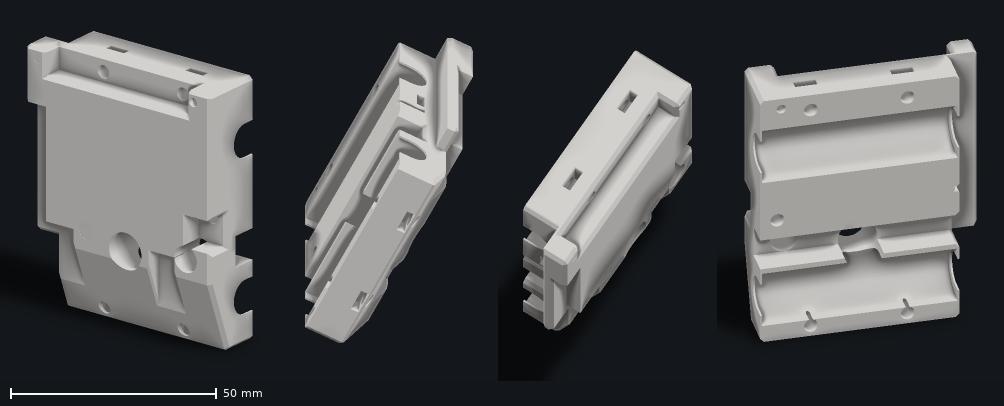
import cadquery as cq
import math

width = 57.0
depth = 17.0
height = 69.0
chamfer = 1.0
small_chamfer = chamfer / 2
tiny_chamfer = 0.2
tolerance = 0.01

flange_overhang = 7.0
flange_back = 7.05
flange_bottom = 19.2

slope_angle = 20.0
slope_top = flange_bottom
slope_end_y = 6.8
slope_end_z = slope_top - slope_end_y / math.tan(math.radians(slope_angle))
bottom_front = 7.4

pocket_left = 6.3
pocket_right = 49.6
pocket_floor = 5.5
pocket_bottom = 62.0

recess_depth = 4.0
left_recess_width = 6.55
left_recess_top = 54.1
foot_recess_top = 24.1
foot_recess_left = 38.0
foot_recess_right = 45.95
left_foot_recess_right = 15.0

notch_width = 8.4
notch_bottom = 27.45
notch_top = 36.0
notch_depth = 6.35

screw_diameter = 3.5
screw_left = 19.95
screw_pitch = 24.3
screw_bottom_z = 2.9
screw_top_z = 64.7
notch_screw = (52.65, 34.35)
pin_diameter = 2.4
pin_mark = (4.0, 66.1)
pin_hole = (51.7, 66.1)
mark_diameter = 4.0
mark_place = (18.55, 24.5)
mark_depth = 0.1
large_diameter = 10.0
large_hole = (30.85, 21.95)
medium_diameter = 7.0
medium_hole = (49.4, 24.4)

nut_slot_length = 5.5
nut_slot_thickness = 2.15
nut_slot_y = 11.1
bottom_slot_y = 8.55
bottom_slot_depth = screw_bottom_z + nut_slot_length / 2
nut_slot_depth = 6.9
side_nut_z = 41.55

channel_width = 9.0
channel_y = 13.95
bearing_diameter = 15.0
bearing_wall = 0.5
channel_heights = (12.1, 53.05)
window_bottom = 20.9
window_top = 29.2
window_front = 10.15

groove_bottom = 36.0
groove_top = 37.55
groove_front = 10.0
groove_depth = 1.0


def box(x_range, y_range, z_range):
    """A block filling the given ranges."""
    sizes = [high - low for low, high in (x_range, y_range, z_range)]
    corner = (x_range[0], y_range[0], z_range[0])
    return cq.Workplane("XY").box(*sizes, centered=False).translate(corner)


def range_about(centre, size):
    """The range of the given size about a centre."""
    return (centre - size / 2, centre + size / 2)


def drill(diameter, places, hole_depth=depth):
    """Cylinders from the front face towards the back at the given (x, z) places."""
    plane = cq.Workplane("XZ").pushPoints(places)
    return plane.circle(diameter / 2).extrude(-hole_depth)


def lies_at(edge, x=None, y=None, z=None):
    """Whether the whole edge lies at the given coordinates."""
    for axis, place in enumerate((x, y, z)):
        for end in (edge.startPoint(), edge.endPoint()):
            if place is not None and abs(end.toTuple()[axis] - place) > tolerance:
                return False
    return True


def chamfer_where(solid, size, wanted):
    """Chamfer the edges for which `wanted` is true."""
    chosen = [edge for edge in solid.edges().vals() if wanted(edge)]
    return solid.newObject(chosen).chamfer(size)


def sharp_block():
    """The block with its sloping front, overhanging flange and edge recesses, before chamfering."""
    side = [
        (0, height),
        (0, slope_top),
        (slope_end_y, slope_end_z),
        (bottom_front, 0),
        (depth, 0),
        (depth, height),
    ]
    block = cq.Workplane("YZ").polyline(side).close().extrude(width)
    beside_foot = box((0, flange_overhang), (0, depth), (0, flange_bottom))
    behind_flange = box((0, flange_overhang), (flange_back, depth), (0, height))
    pocket = box((pocket_left, pocket_right), (0, pocket_floor), (pocket_bottom, height))
    left_recess = box((0, left_recess_width), (0, recess_depth), (0, left_recess_top))
    left_foot_recess = box((0, left_foot_recess_right), (0, recess_depth), (0, foot_recess_top))
    foot_recess = box((foot_recess_left, foot_recess_right), (0, recess_depth), (0, foot_recess_top))
    notch = box((width - notch_width, width), (0, notch_depth), (notch_bottom, notch_top))
    for cutter in (
        beside_foot, behind_flange, pocket, left_recess, left_foot_recess, foot_recess, notch
    ):
        block = block.cut(cutter)
    return block


def is_outer_edge(edge):
    """Edges around the outline, the edge recesses and the pocket's mouth, but not at the back."""
    if lies_at(edge, y=depth):
        return False
    on_side = lies_at(edge, x=0) or lies_at(edge, x=width)
    on_top = lies_at(edge, z=height) and not lies_at(edge, y=flange_back)
    pocket_rim = lies_at(edge, y=0) and edge.Center().z > pocket_bottom - tolerance
    flange_underside = lies_at(edge, y=recess_depth, z=flange_bottom)
    below_flange = edge.Center().z < flange_bottom - tolerance
    foot_side = lies_at(edge, x=flange_overhang) and below_flange
    foot_edge = foot_side and not lies_at(edge, y=recess_depth)
    return on_side or on_top or pocket_rim or flange_underside or foot_edge


def is_foot_recess_edge(edge):
    """Edges between the sloping front and the side walls of the foot recesses."""
    middle = edge.Center()
    on_wall = any(
        lies_at(edge, x=wall)
        for wall in (left_foot_recess_right, foot_recess_left, foot_recess_right)
    )
    sloping = not lies_at(edge, y=middle.y) and not lies_at(edge, z=middle.z)
    return on_wall and sloping


def is_foot_rim(edge):
    """The edge between the left side of the foot and the floor of its recess."""
    return lies_at(edge, x=flange_overhang, y=recess_depth)


def channel(diameter, left, right, z):
    """A round-bottomed channel along X, open to the back."""
    radius = diameter / 2
    side = cq.Workplane("YZ", origin=(left, 0, 0)).center(channel_y, z)
    round_bottom = side.circle(radius).extrude(right - left)
    straight = box((left, right), (channel_y, depth), (z - radius, z + radius))
    return round_bottom.union(straight)


def is_window_mouth(edge):
    """Edges of the window in the left side of the body."""
    in_range = window_bottom - tolerance < edge.Center().z < window_top + tolerance
    behind = edge.Center().y > window_front - tolerance
    return lies_at(edge, x=flange_overhang) and in_range and behind and not lies_at(edge, y=depth)


def is_groove_bevel(edge):
    """The long lips of the groove and the back edge of its floor."""
    lower_lip = lies_at(edge, x=flange_overhang, z=groove_bottom)
    upper_lip = lies_at(edge, x=flange_overhang, z=groove_top)
    floor_end = lies_at(edge, x=flange_overhang + groove_depth, y=depth)
    return lower_lip or upper_lip or floor_end


def is_near(value, centre, size):
    """Whether a value lies in the range of the given size about a centre."""
    return abs(value - centre) < size / 2 + tolerance


def is_top_slot_mouth(edge):
    """Edges of the nut slots in the top face."""
    inside = is_near(edge.Center().y, nut_slot_y, nut_slot_thickness)
    return lies_at(edge, z=height) and inside


def is_side_slot_mouth(edge):
    """Edges of the nut slot in the left side of the body."""
    near_y = is_near(edge.Center().y, nut_slot_y, nut_slot_thickness)
    near_z = is_near(edge.Center().z, side_nut_z, nut_slot_length)
    return lies_at(edge, x=flange_overhang) and near_y and near_z


result = sharp_block()
result = chamfer_where(result, chamfer, is_outer_edge)
result = chamfer_where(result, small_chamfer, is_foot_rim)
result = chamfer_where(result, small_chamfer, is_foot_recess_edge)

result = result.cut(box((0, width), (window_front, depth), (window_bottom, window_top)))
result = chamfer_where(result, chamfer, is_window_mouth)

groove_end = flange_overhang + groove_depth
result = result.cut(box((0, groove_end), (groove_front, depth), (groove_bottom, groove_top)))
result = chamfer_where(result, small_chamfer, is_groove_bevel)

nut_y_range = range_about(nut_slot_y, nut_slot_thickness)
bottom_y_range = range_about(bottom_slot_y, nut_slot_thickness)
for x in (screw_left, screw_left + screw_pitch):
    nut_x_range = range_about(x, nut_slot_length)
    result = result.cut(box(nut_x_range, nut_y_range, (height - nut_slot_depth, height)))
    result = result.cut(box(nut_x_range, bottom_y_range, (0, bottom_slot_depth)))
side_slot_x_range = (0, flange_overhang + nut_slot_depth)
result = result.cut(box(side_slot_x_range, nut_y_range, range_about(side_nut_z, nut_slot_length)))
result = chamfer_where(result, tiny_chamfer, is_top_slot_mouth)
result = chamfer_where(result, tiny_chamfer, is_side_slot_mouth)

bearing_left = flange_overhang + bearing_wall
bearing_right = width - bearing_wall
for z in channel_heights:
    result = result.cut(channel(channel_width, flange_overhang, width, z))
    result = result.cut(channel(bearing_diameter, bearing_left, bearing_right, z))

screw_places = [
    (x, z)
    for x in (screw_left, screw_left + screw_pitch)
    for z in (screw_bottom_z, screw_top_z)
]
result = result.cut(drill(screw_diameter, screw_places + [notch_screw]))
result = result.cut(drill(pin_diameter, [pin_hole]))
result = result.cut(drill(large_diameter, [large_hole]))
result = result.cut(drill(medium_diameter, [medium_hole]))

result = result.cut(drill(pin_diameter, [pin_mark], mark_depth))
result = result.cut(drill(mark_diameter, [mark_place], mark_depth))